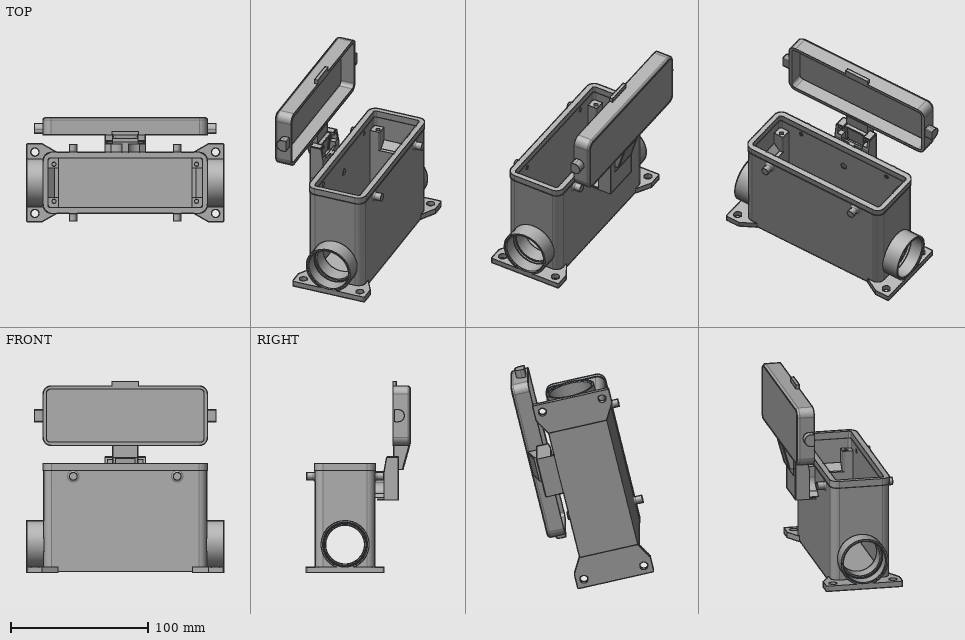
import cadquery as cq
import math

BODY_LENGTH = 119.0
BODY_WIDTH = 43.6
BODY_CORNER = 5.8
BODY_BOTTOM = 0.7
RIM_BOTTOM = 74.5
RIM_TOP = 79.75
RIM_STEP = 0.5
RIM_LENGTH = BODY_LENGTH + 2 * RIM_STEP
RIM_WIDTH = BODY_WIDTH + 2 * RIM_STEP
RIM_CORNER = BODY_CORNER + RIM_STEP

OPENING_LENGTH = 112.4
OPENING_WIDTH = 36.0
OPENING_CORNER = 1.8
OPENING_UNDERCUT = 0.2
FLOOR_TOP = 4.5

EMBED = 0.5

POST_LENGTH = 7.6
POST_WIDTH = 7.4
POST_TOP = 67.0
POST_ROUNDING = 0.9
POST_INNER_X = OPENING_LENGTH / 2 - POST_LENGTH
END_WALL_TOP = 51.4
END_WALL_RAMP = 4.7
SCREW_HOLE_DIAMETER = 3.0
SCREW_HOLE_DEPTH = 12.0
SCREW_X = 52.0
SCREW_Y = 13.5

OVERALL_LENGTH = 144.0
FOOT_WIDTH = 57.0
FOOT_HEIGHT = 4.1
FOOT_WIDE_END_X = 60.7
FOOT_INNER_X = 49.0
FOOT_CORNER = 1.0
FOOT_HOLE_DIAMETER = 5.8
FOOT_HOLE_X = 65.9
FOOT_HOLE_Y = 22.4

ENTRY_Z = 20.5
ENTRY_DIAMETER = 35.0
ENTRY_BORE = 28.2
ENTRY_COUNTERBORE = 31.4
ENTRY_SEAT_DIAMETER = 30.4
ENTRY_MOUTH = 32.8
ENTRY_COUNTERBORE_DEPTH = 10.2
ENTRY_SEAT_DEPTH = 12.0
ENTRY_LEAD_IN = (ENTRY_MOUTH - ENTRY_COUNTERBORE) / 2

PEG_X = 37.9
PEG_Z = 70.3
PEG_DIAMETER = 5.6
PEG_ROOT_RADIUS = 1.4
PEG_TIP_Y = 28.0
PEG_DIMPLE_DIAMETER = 3.0
HINGE_DIMPLE_DIAMETER = 5.0
DIMPLE_DEPTH = 1.0

PAD_TOP = 73.9
PAD_NECK_HALF = 2.4
PAD_ARC_RADIUS = 8.15
PAD_ARC_START_Z = 65.8
PAD_BOTTOM = 54.7
HINGE_DIMPLE_Z = 59.0

BRACKET_LENGTH = 29.8
BRACKET_FRONT = 28.4
BRACKET_BACK = 39.1
BRACKET_BOTTOM = 52.9
BRACKET_TOP = 84.6
BRACKET_LEAN = 1.9
BRACKET_EDGE = 0.5
LIP_FRONT = 23.7
LIP_HEIGHT = 1.0
SLOT_LENGTH = 18.4
SLOT_BOTTOM = 70.0
SLOT_FRONT = 29.9
POCKET_OUTER_X = 13.1
POCKET_BOTTOM = 77.0
POCKET_TOP = 82.6
POCKET_DEPTH = 5.0

COVER_LENGTH = RIM_LENGTH
COVER_HEIGHT = 43.5
COVER_CORNER = 6.0
COVER_FRONT = 34.85
COVER_BACK = 47.75
COVER_CENTER_Z = 114.5
COVER_WALL = 2.4
COVER_FLOOR = 2.5
COVER_BACK_ROUNDING = 1.5
COVER_PANEL_HEIGHT = 0.5
CAVITY_CORNER = 3.0
TAB_LENGTH = 19.4
TAB_THICKNESS = 2.5
TAB_TOP = 139.5
LUG_SPAN = 132.4
LUG_RADIUS = 4.4
LUG_FRONT = 36.0
LUG_AXIS_Y = 38.9
LUG_EDGE = 0.7

ARM_LENGTH = SLOT_LENGTH
ARM_FRONT = 35.4
ARM_BOTTOM = 75.2
ARM_BACK_AT_COVER = 47.2
ARM_BACK_AT_BOTTOM = 42.3
ARM_EDGE = 0.6
KNUCKLE_LENGTH = 17.6
KNUCKLE_FRONT = 32.4
KNUCKLE_TOP = 84.2
KNUCKLE_TILT = math.radians(5)
KNUCKLE_BAR_HEIGHT = 1.0
KNUCKLE_RECESS_LENGTH = 14.2
KNUCKLE_RECESS_DEPTH = 0.8


def rounded_block(length, width, corner, bottom, top):
    """Upright block centred on the Z axis with rounded vertical edges."""
    block = cq.Workplane("XY").workplane(offset=bottom).rect(length, width).extrude(top - bottom)
    return block.edges("|Z").fillet(corner)


def box(x_range, y_range, z_range):
    """Box between two limits on each axis."""
    sizes = [high - low for low, high in (x_range, y_range, z_range)]
    corner = (x_range[0], y_range[0], z_range[0])
    return cq.Workplane("XY").box(*sizes, centered=False).translate(corner)


def across_x(points, length):
    """Prism with a YZ outline, centred on X."""
    return cq.Workplane("YZ").polyline(points).close().extrude(length / 2, both=True)


def cylinder_x(diameter, start, end):
    """Cylinder on the cable entry axis."""
    circle = cq.Workplane("YZ", origin=(start, 0, ENTRY_Z)).circle(diameter / 2)
    return circle.extrude(end - start)


def foot():
    """Mounting foot at the +X end, tapering into the side walls."""
    half_body = BODY_WIDTH / 2
    half_foot = FOOT_WIDTH / 2
    end = OVERALL_LENGTH / 2
    outline = [
        (FOOT_INNER_X, -half_body),
        (FOOT_WIDE_END_X, -half_foot),
        (end, -half_foot),
        (end, half_foot),
        (FOOT_WIDE_END_X, half_foot),
        (FOOT_INNER_X, half_body),
    ]
    plate = cq.Workplane("XY").polyline(outline).close().extrude(FOOT_HEIGHT)
    plate = plate.edges("|Z and >X").fillet(FOOT_CORNER)
    holes = cq.Workplane("XY").pushPoints([(FOOT_HOLE_X, -FOOT_HOLE_Y), (FOOT_HOLE_X, FOOT_HOLE_Y)])
    return plate.cut(holes.circle(FOOT_HOLE_DIAMETER / 2).extrude(FOOT_HEIGHT))


def entry_bore():
    """Stepped bore of the +X cable entry, with a lead-in cone at its mouth."""
    end = OVERALL_LENGTH / 2
    bore = cylinder_x(ENTRY_BORE, 0, end)
    bore = bore.union(cylinder_x(ENTRY_SEAT_DIAMETER, end - ENTRY_SEAT_DEPTH, end))
    bore = bore.union(cylinder_x(ENTRY_COUNTERBORE, end - ENTRY_COUNTERBORE_DEPTH, end))
    lead_in = (
        cq.Workplane("YZ", origin=(end - ENTRY_LEAD_IN, 0, ENTRY_Z))
        .circle(ENTRY_COUNTERBORE / 2)
        .workplane(offset=ENTRY_LEAD_IN)
        .circle(ENTRY_MOUTH / 2)
        .loft()
    )
    return bore.union(lead_in)


def end_wall():
    """Thick lower wall at the +X end of the cavity, with a sloped top."""
    outer = OPENING_LENGTH / 2 + EMBED
    ramp_start = OPENING_LENGTH / 2 - END_WALL_RAMP
    outline = [
        (POST_INNER_X, FLOOR_TOP),
        (outer, FLOOR_TOP),
        (outer, END_WALL_TOP + outer - ramp_start),
        (ramp_start, END_WALL_TOP),
        (POST_INNER_X, END_WALL_TOP),
    ]
    half_width = OPENING_WIDTH / 2 + EMBED
    return cq.Workplane("XZ").polyline(outline).close().extrude(half_width, both=True)


def post(side):
    """Screw post in one corner at the +X end; side is +1 or -1 along Y."""
    outer_x = OPENING_LENGTH / 2 + EMBED
    inner_y = OPENING_WIDTH / 2 - POST_WIDTH
    outer_y = OPENING_WIDTH / 2 + EMBED
    block = box((POST_INNER_X, outer_x), (inner_y, outer_y), (END_WALL_TOP, POST_TOP))
    block = block.edges("|Z and <X and <Y").fillet(POST_ROUNDING)
    hole = cq.Workplane("XY", origin=(SCREW_X, SCREW_Y, POST_TOP)).circle(SCREW_HOLE_DIAMETER / 2)
    block = block.cut(hole.extrude(-SCREW_HOLE_DEPTH))
    return block if side > 0 else block.mirror("XZ")


def peg():
    """Locking peg on the rear wall with a flared root."""
    radius = PEG_DIAMETER / 2
    wall = BODY_WIDTH / 2
    root = wall - PEG_ROOT_RADIUS / 2
    flare = PEG_ROOT_RADIUS * (1 - math.sqrt(0.5))
    profile = (
        cq.Workplane("XY")
        .moveTo(0, root)
        .lineTo(radius + PEG_ROOT_RADIUS, root)
        .lineTo(radius + PEG_ROOT_RADIUS, wall)
        .threePointArc((radius + flare, wall + flare), (radius, wall + PEG_ROOT_RADIUS))
        .lineTo(radius, PEG_TIP_Y)
        .lineTo(0, PEG_TIP_Y)
        .close()
    )
    return profile.revolve(360, (0, 0, 0), (0, 1, 0)).translate((PEG_X, 0, PEG_Z))


def wall_dimple(x, z, diameter):
    """Shallow round recess in the inner face of the rear wall."""
    inner_face = OPENING_WIDTH / 2 + OPENING_UNDERCUT
    circle = cq.Workplane("XZ", origin=(x, inner_face, z)).circle(diameter / 2)
    return circle.extrude(-DIMPLE_DEPTH)


def hinge_pad():
    """Bell-shaped pad on the rear wall that carries the bracket."""
    foot_half = BRACKET_LENGTH / 2
    arc_end_x = PAD_NECK_HALF + PAD_ARC_RADIUS
    arc_end_z = PAD_ARC_START_Z - PAD_ARC_RADIUS
    arc_mid_x = arc_end_x - PAD_ARC_RADIUS * math.sqrt(0.5)
    arc_mid_z = PAD_ARC_START_Z - PAD_ARC_RADIUS * math.sqrt(0.5)
    wall = BODY_WIDTH / 2
    outline = (
        cq.Workplane("XZ", origin=(0, wall, 0))
        .moveTo(-PAD_NECK_HALF, PAD_TOP)
        .lineTo(PAD_NECK_HALF, PAD_TOP)
        .lineTo(PAD_NECK_HALF, PAD_ARC_START_Z)
        .threePointArc((arc_mid_x, arc_mid_z), (arc_end_x, arc_end_z))
        .lineTo(foot_half, PAD_BOTTOM)
        .lineTo(-foot_half, PAD_BOTTOM)
        .lineTo(-arc_end_x, arc_end_z)
        .threePointArc((-arc_mid_x, arc_mid_z), (-PAD_NECK_HALF, PAD_ARC_START_Z))
        .close()
    )
    return outline.extrude(wall - BRACKET_FRONT)


def bracket():
    """Hinge bracket: two pocketed cheeks either side of a slot for the cover arm."""
    outline = [
        (BRACKET_FRONT, BRACKET_BOTTOM),
        (BRACKET_BACK, BRACKET_BOTTOM),
        (BRACKET_BACK, BRACKET_TOP),
        (BRACKET_FRONT + BRACKET_LEAN, BRACKET_TOP),
        (BRACKET_FRONT, PAD_TOP),
    ]
    block = across_x(outline, BRACKET_LENGTH)
    block = block.edges(">Z or >Y").chamfer(BRACKET_EDGE)
    half = BRACKET_LENGTH / 2
    lip = box((-half, half), (LIP_FRONT, BRACKET_FRONT), (BRACKET_BOTTOM, BRACKET_BOTTOM + LIP_HEIGHT))
    slot_half = SLOT_LENGTH / 2
    slot_x = (-slot_half, slot_half)
    slot = box(slot_x, (SLOT_FRONT, BRACKET_BACK), (SLOT_BOTTOM, BRACKET_TOP))
    slot_mouth = box(slot_x, (BRACKET_FRONT, SLOT_FRONT), (PAD_TOP, BRACKET_TOP))
    pocket_x = (-POCKET_OUTER_X, POCKET_OUTER_X)
    pockets = box(pocket_x, (BRACKET_FRONT, BRACKET_FRONT + POCKET_DEPTH), (POCKET_BOTTOM, POCKET_TOP))
    return block.union(lip).cut(slot).cut(slot_mouth).cut(pockets)


def build_housing():
    shell = rounded_block(BODY_LENGTH, BODY_WIDTH, BODY_CORNER, BODY_BOTTOM, RIM_BOTTOM)
    shell = shell.union(rounded_block(RIM_LENGTH, RIM_WIDTH, RIM_CORNER, RIM_BOTTOM, RIM_TOP))

    end_features = foot().union(cylinder_x(ENTRY_DIAMETER, BODY_LENGTH / 2 - EMBED, OVERALL_LENGTH / 2))
    shell = shell.union(end_features).union(end_features.mirror("YZ"))

    lower = rounded_block(
        OPENING_LENGTH + 2 * OPENING_UNDERCUT,
        OPENING_WIDTH + 2 * OPENING_UNDERCUT,
        OPENING_CORNER + OPENING_UNDERCUT,
        FLOOR_TOP,
        RIM_BOTTOM,
    )
    opening = rounded_block(OPENING_LENGTH, OPENING_WIDTH, OPENING_CORNER, FLOOR_TOP, RIM_TOP)
    shell = shell.cut(lower).cut(opening)

    inner = end_wall().union(post(1)).union(post(-1))
    shell = shell.union(inner).union(inner.mirror("YZ"))
    bore = entry_bore()
    shell = shell.cut(bore).cut(bore.mirror("YZ"))

    rear_peg = peg()
    front_peg = rear_peg.mirror("XZ")
    rear_dimple = wall_dimple(PEG_X, PEG_Z, PEG_DIMPLE_DIAMETER)
    front_dimple = rear_dimple.mirror("XZ")
    for one_peg, dimple in ((rear_peg, rear_dimple), (front_peg, front_dimple)):
        shell = shell.union(one_peg).union(one_peg.mirror("YZ"))
        shell = shell.cut(dimple).cut(dimple.mirror("YZ"))

    shell = shell.union(hinge_pad()).union(bracket())
    return shell.cut(wall_dimple(0, HINGE_DIMPLE_Z, HINGE_DIMPLE_DIAMETER))


def cover_tray():
    """Shallow tray that opens toward -Y."""
    tray_back = COVER_BACK - COVER_PANEL_HEIGHT
    back_plane = cq.Workplane("XZ", origin=(0, tray_back, COVER_CENTER_Z))
    tray = back_plane.rect(COVER_LENGTH, COVER_HEIGHT).extrude(tray_back - COVER_FRONT)
    tray = tray.edges("|Y").fillet(COVER_CORNER).faces(">Y").edges().fillet(COVER_BACK_ROUNDING)
    margin = 2 * COVER_BACK_ROUNDING
    panel = back_plane.rect(COVER_LENGTH - margin, COVER_HEIGHT - margin).extrude(-COVER_PANEL_HEIGHT)
    tray = tray.union(panel.edges("|Y").fillet(COVER_CORNER - COVER_BACK_ROUNDING))
    floor_plane = cq.Workplane("XZ", origin=(0, COVER_BACK - COVER_FLOOR, COVER_CENTER_Z))
    cavity = floor_plane.rect(COVER_LENGTH - 2 * COVER_WALL, COVER_HEIGHT - 2 * COVER_WALL)
    cavity = cavity.extrude(COVER_BACK - COVER_FLOOR - COVER_FRONT)
    return tray.cut(cavity.edges("|Y").fillet(CAVITY_CORNER))


def cover_lug():
    """Locking lug on the +X side: flat toward -Y, round toward +Y."""
    start = COVER_LENGTH / 2 - COVER_WALL / 2
    outline = (
        cq.Workplane("YZ", origin=(start, 0, COVER_CENTER_Z))
        .moveTo(LUG_FRONT, -LUG_RADIUS)
        .lineTo(LUG_AXIS_Y, -LUG_RADIUS)
        .threePointArc((LUG_AXIS_Y + LUG_RADIUS, 0), (LUG_AXIS_Y, LUG_RADIUS))
        .lineTo(LUG_FRONT, LUG_RADIUS)
        .close()
    )
    return outline.extrude(LUG_SPAN / 2 - start).edges("|X and <Y").fillet(LUG_EDGE)


def cover_arm():
    """Tapered hinge arm with a tilted knuckle that lies between the bracket cheeks."""
    cover_bottom = COVER_CENTER_Z - COVER_HEIGHT / 2
    joint = cover_bottom + COVER_WALL / 2
    outline = [
        (ARM_FRONT, joint),
        (ARM_FRONT, ARM_BOTTOM),
        (ARM_BACK_AT_BOTTOM, ARM_BOTTOM),
        (ARM_BACK_AT_COVER, cover_bottom),
        (ARM_BACK_AT_COVER - COVER_BACK_ROUNDING, joint),
    ]
    arm = across_x(outline, ARM_LENGTH)
    slope = cq.Vector(0, ARM_BACK_AT_COVER - ARM_BACK_AT_BOTTOM, cover_bottom - ARM_BOTTOM)
    arm = arm.edges(cq.selectors.ParallelDirSelector(slope)).chamfer(ARM_EDGE)
    return arm.union(knuckle())


def knuckle():
    """End of the hinge arm inside the bracket, tilted forward, with a shallow recess under a bar."""
    lean = math.tan(KNUCKLE_TILT)

    def front_at(z):
        return KNUCKLE_FRONT + (KNUCKLE_TOP - z) * lean

    outline = [
        (KNUCKLE_FRONT, KNUCKLE_TOP - (ARM_FRONT - KNUCKLE_FRONT) * lean),
        (ARM_FRONT, KNUCKLE_TOP),
        (BRACKET_BACK, KNUCKLE_TOP),
        (BRACKET_BACK, SLOT_BOTTOM),
        (front_at(SLOT_BOTTOM), SLOT_BOTTOM),
    ]
    recess_top = KNUCKLE_TOP - KNUCKLE_BAR_HEIGHT
    recess_outline = [
        (KNUCKLE_FRONT - KNUCKLE_RECESS_DEPTH, recess_top),
        (front_at(recess_top) + KNUCKLE_RECESS_DEPTH, recess_top),
        (front_at(SLOT_BOTTOM) + KNUCKLE_RECESS_DEPTH, SLOT_BOTTOM),
        (KNUCKLE_FRONT - KNUCKLE_RECESS_DEPTH, SLOT_BOTTOM),
    ]
    return across_x(outline, KNUCKLE_LENGTH).cut(across_x(recess_outline, KNUCKLE_RECESS_LENGTH))


def build_cover():
    lug = cover_lug()
    tab_bottom = COVER_CENTER_Z + COVER_HEIGHT / 2 - COVER_WALL
    tab_y = (COVER_FRONT, COVER_FRONT + TAB_THICKNESS)
    tab = box((-TAB_LENGTH / 2, TAB_LENGTH / 2), tab_y, (tab_bottom, TAB_TOP))
    return cover_tray().union(lug).union(lug.mirror("YZ")).union(tab).union(cover_arm())


housing = build_housing()
cover = build_cover()
result = cq.Compound.makeCompound([housing.val(), cover.val()])